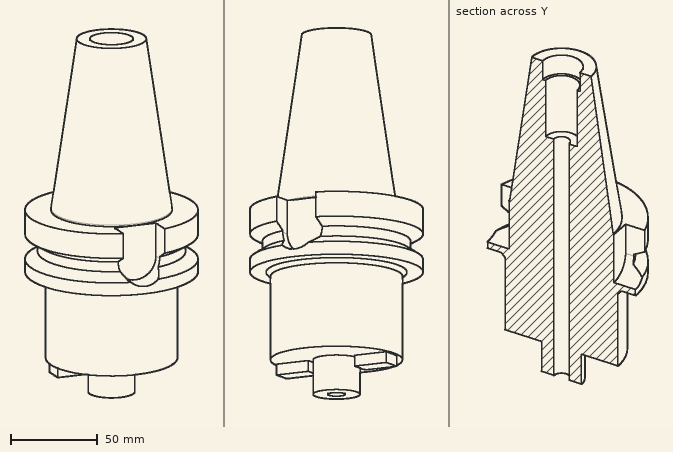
import cadquery as cq

total_height = 211.8
body_bottom = 20.3
flange_bottom = 72.0
lower_rim_top = 79.6
groove_bottom = 84.3
groove_top = 90.2
upper_rim_bottom = 94.5
flange_top = 109.0
taper_bottom = 110.1

pilot_radius = 13.5
body_radius = 38.1
flange_radius = 50.0
groove_radius = 42.8
taper_large_radius = 35.0
taper_small_radius = 20.1
neck_chamfer = 2.5

bore_radius = 12.5
bore_depth = 12.7
inner_bore_radius = 10.5
inner_bore_depth = 50.8
through_radius = 5.0

slot_half_width = 13.0
slot_floor_x = 35.4
slot_bottom = 76.5

key_width = 12.3
key_height = 6.4
key_inner_y = 15.2
key_outer_y = 36.2


def turned_body():
    """Revolve the pilot, body, grooved flange and taper about Z."""
    profile = [
        (0, 0),
        (pilot_radius, 0),
        (pilot_radius, body_bottom),
        (body_radius, body_bottom),
        (body_radius, flange_bottom - neck_chamfer),
        (body_radius + neck_chamfer, flange_bottom),
        (flange_radius, flange_bottom),
        (flange_radius, lower_rim_top),
        (groove_radius, groove_bottom),
        (groove_radius, groove_top),
        (flange_radius, upper_rim_bottom),
        (flange_radius, flange_top),
        (taper_large_radius, flange_top),
        (taper_large_radius, taper_bottom),
        (taper_small_radius, total_height),
        (0, total_height),
    ]
    return cq.Workplane("XZ").polyline(profile).close().revolve(360, (0, 0), (0, 1))


def bore(radius, depth):
    """Cylinder going down from the top face."""
    return cq.Workplane("XY").workplane(offset=total_height).circle(radius).extrude(-depth)


def drive_slot():
    """Slot on the +X side, open at the top and outside, with a round bottom."""
    round_center = slot_bottom + slot_half_width
    return (
        cq.Workplane("YZ", origin=(slot_floor_x, 0, 0))
        .moveTo(-slot_half_width, flange_top)
        .lineTo(-slot_half_width, round_center)
        .threePointArc((0, slot_bottom), (slot_half_width, round_center))
        .lineTo(slot_half_width, flange_top)
        .close()
        .extrude(flange_radius)
    )


def drive_keys():
    """Pair of rectangular keys on the body's bottom face, along Y."""
    key_center_y = (key_inner_y + key_outer_y) / 2
    return (
        cq.Workplane("XY", origin=(0, 0, body_bottom))
        .pushPoints([(0, -key_center_y), (0, key_center_y)])
        .rect(key_width, key_outer_y - key_inner_y)
        .extrude(-key_height)
    )


result = turned_body().union(drive_keys())

bore_steps = [
    (bore_radius, bore_depth),
    (inner_bore_radius, inner_bore_depth),
    (through_radius, total_height),
]
for step_radius, step_depth in bore_steps:
    result = result.cut(bore(step_radius, step_depth))

for slot_angle in (0, 180):
    result = result.cut(drive_slot().rotate((0, 0, 0), (0, 0, 1), slot_angle))